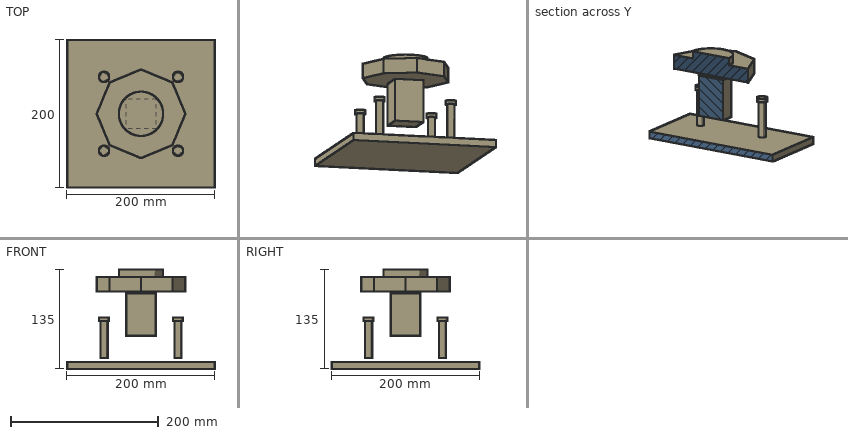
import cadquery as cq

plate_side = 200
plate_thickness = 10

block_side = 40
block_bottom = 45
block_height = 57.5

octagon_corner_diameter = 120
octagon_sides = 8
octagon_thickness = 20
cap_gap_above_block = 2.5
octagon_bottom = block_bottom + block_height + cap_gap_above_block
boss_diameter = 60
boss_height = 10

pin_spacing = 100
pin_gap_above_plate = 5
shank_diameter = 10
shank_length = 50
head_diameter = 14
head_height = 5


def make_plate():
    return cq.Workplane("XY").rect(plate_side, plate_side).extrude(plate_thickness)


def make_block():
    return (
        cq.Workplane("XY")
        .workplane(offset=block_bottom)
        .rect(block_side, block_side)
        .extrude(block_height)
    )


def make_cap():
    """Octagon with corners on the X and Y axes, and its boss, as one solid."""
    return (
        cq.Workplane("XY")
        .workplane(offset=octagon_bottom)
        .polygon(octagon_sides, octagon_corner_diameter)
        .extrude(octagon_thickness)
        .faces(">Z")
        .workplane()
        .circle(boss_diameter / 2)
        .extrude(boss_height)
    )


def make_pin(x, y):
    """Vertical pin: plain shank with a wider round head on top."""
    shank_bottom = plate_thickness + pin_gap_above_plate
    return (
        cq.Workplane("XY", origin=(x, y, shank_bottom))
        .circle(shank_diameter / 2)
        .extrude(shank_length)
        .faces(">Z")
        .workplane()
        .circle(head_diameter / 2)
        .extrude(head_height)
    )


plate = make_plate()
block = make_block()
cap = make_cap()

pin_offset = pin_spacing / 2
pins = []
for x in (-pin_offset, pin_offset):
    for y in (-pin_offset, pin_offset):
        pins.append(make_pin(x, y).val())

result = cq.Compound.makeCompound([plate.val(), block.val(), cap.val(), *pins])